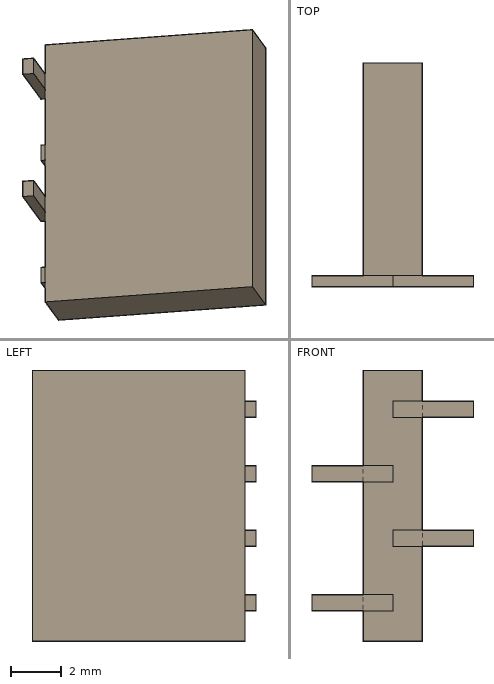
import cadquery as cq

housing_width = 2.34
housing_depth = 8.38
housing_height = 10.68

tail_span = 6.38
tail_length = tail_span / 2
tail_thickness = 0.44
tail_height = 0.64
tail_pitch = 2.54
tail_count = 4


def make_housing():
    """Block centred in X and Z, with its -Y face on the XZ plane."""
    return cq.Workplane("XY").box(
        housing_width, housing_depth, housing_height, centered=(True, False, True)
    )


def make_tail(index):
    """Tail running outward from the centre line, to -X for even indexes and +X for odd."""
    side = -1 if index % 2 == 0 else 1
    center_x = side * tail_length / 2
    center_y = -tail_thickness / 2
    center_z = (index - (tail_count - 1) / 2) * tail_pitch
    return (
        cq.Workplane("XY")
        .box(tail_length, tail_thickness, tail_height)
        .translate((center_x, center_y, center_z))
    )


result = make_housing()
for tail_index in range(tail_count):
    result = result.union(make_tail(tail_index))